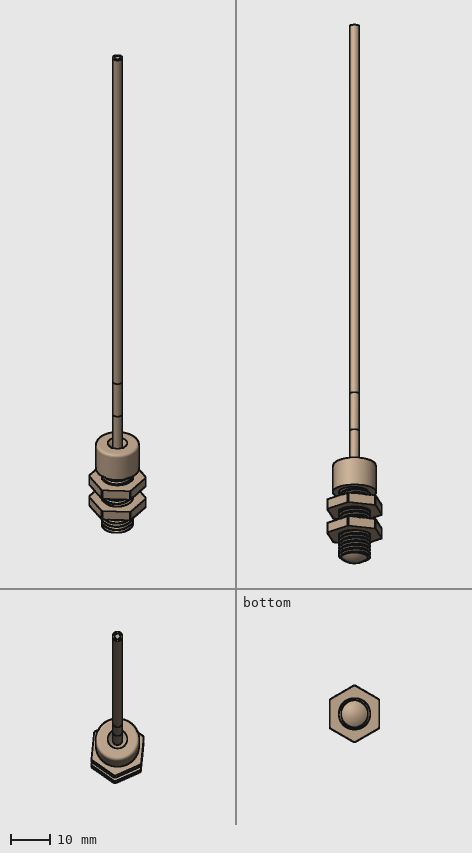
import cadquery as cq
import math

TOTAL_HEIGHT = 145.7

HEAD_RADIUS = 5.5
HEAD_BOTTOM = 19.1
HEAD_TOP = 26.7
HEAD_FILLET = 0.7
FUNNEL_RADIUS = 2.5
FUNNEL_DEPTH = 1.5
SHANK_DIAMETER = 8.0
SHANK_RADIUS = SHANK_DIAMETER / 2
TIP_HEIGHT = 1.3

PITCH = 1.0
THREAD_DEPTH = 0.6
THREAD_FOOT_WIDTH = 0.9
THREAD_FOOT_EMBED = 0.07
CREST_ON_X_SIDE = 0.85
ROOT_RADIUS = SHANK_RADIUS - THREAD_DEPTH
THREAD_OVERRUN = 2 * PITCH

NUT_FLATS = 12.7
NUT_TURNED_DIAMETER = 14.4
NUT_HEIGHT = 2.6
NUT_BOTTOMS = (7.3, 13.7)

CABLE_RADIUS = 1.24
CORE_RADIUS = 0.7
CABLE_BOTTOM = HEAD_TOP - FUNNEL_DEPTH
SLEEVE_ENDS = (CABLE_BOTTOM, 35.7, 45.8, TOTAL_HEIGHT)


def cylinder(radius, bottom, top):
    """Solid cylinder on the Z axis."""
    return cq.Workplane("XY", origin=(0, 0, bottom)).circle(radius).extrude(top - bottom)


def make_threaded_rod():
    """Root cylinder with a helical ridge, running past both ends of the shank."""
    start = CREST_ON_X_SIDE - THREAD_OVERRUN
    end = HEAD_BOTTOM + THREAD_OVERRUN
    helix = cq.Wire.makeHelix(PITCH, end - start, ROOT_RADIUS, center=cq.Vector(0, 0, start))
    foot_radius = ROOT_RADIUS - THREAD_FOOT_EMBED
    half_foot = THREAD_FOOT_WIDTH / 2
    ridge = (
        cq.Workplane("XZ", origin=(0, 0, start))
        .polyline([(foot_radius, -half_foot), (SHANK_RADIUS, 0), (foot_radius, half_foot)])
        .close()
        .sweep(cq.Workplane(helix), isFrenet=True)
    )
    return cylinder(ROOT_RADIUS, start - PITCH, end + PITCH).union(ridge)


def make_shank():
    """Threaded rod trimmed level at the top and to a shallow spherical dome at the bottom."""
    dome_radius = (ROOT_RADIUS**2 + TIP_HEIGHT**2) / (2 * TIP_HEIGHT)
    mid_radius = ROOT_RADIUS / 2
    mid_height = dome_radius - math.sqrt(dome_radius**2 - mid_radius**2)
    envelope = (
        cq.Workplane("XZ")
        .moveTo(0, 0)
        .threePointArc((mid_radius, mid_height), (ROOT_RADIUS, TIP_HEIGHT))
        .lineTo(HEAD_RADIUS, TIP_HEIGHT)
        .lineTo(HEAD_RADIUS, HEAD_BOTTOM)
        .lineTo(0, HEAD_BOTTOM)
        .close()
        .revolve(360, (0, 0, 0), (0, 1, 0))
    )
    return make_threaded_rod().intersect(envelope)


def make_head():
    """Plain cylinder with a rounded top rim and a funnel that the cable drops into."""
    return (
        cq.Workplane("XZ")
        .moveTo(0, HEAD_BOTTOM)
        .lineTo(HEAD_RADIUS, HEAD_BOTTOM)
        .lineTo(HEAD_RADIUS, HEAD_TOP - HEAD_FILLET)
        .tangentArcPoint((-HEAD_FILLET, HEAD_FILLET), relative=True)
        .lineTo(FUNNEL_RADIUS, HEAD_TOP)
        .lineTo(CABLE_RADIUS, CABLE_BOTTOM)
        .lineTo(0, CABLE_BOTTOM)
        .close()
        .revolve(360, (0, 0, 0), (0, 1, 0))
    )


def make_nut(bottom):
    """Hexagon with corners toward +Y and -Y, bored to the thread's outer size."""
    top = bottom + NUT_HEIGHT
    hexagon = (
        cq.Workplane("XY", origin=(0, 0, bottom))
        .polygon(6, NUT_FLATS, circumscribed=True)
        .extrude(NUT_HEIGHT)
    )
    turned = hexagon.intersect(cylinder(NUT_TURNED_DIAMETER / 2, bottom, top))
    return turned.cut(cylinder(SHANK_RADIUS, bottom, top))


def make_sleeve(bottom, top):
    return cylinder(CABLE_RADIUS, bottom, top).cut(cylinder(CORE_RADIUS, bottom, top))


housing = make_head().union(make_shank())
nuts = [make_nut(bottom) for bottom in NUT_BOTTOMS]
sleeves = [make_sleeve(bottom, top) for bottom, top in zip(SLEEVE_ENDS, SLEEVE_ENDS[1:])]
core = cylinder(CORE_RADIUS, CABLE_BOTTOM, TOTAL_HEIGHT)

bodies = [housing, *nuts, *sleeves, core]
result = cq.Compound.makeCompound([body.solids().val() for body in bodies])